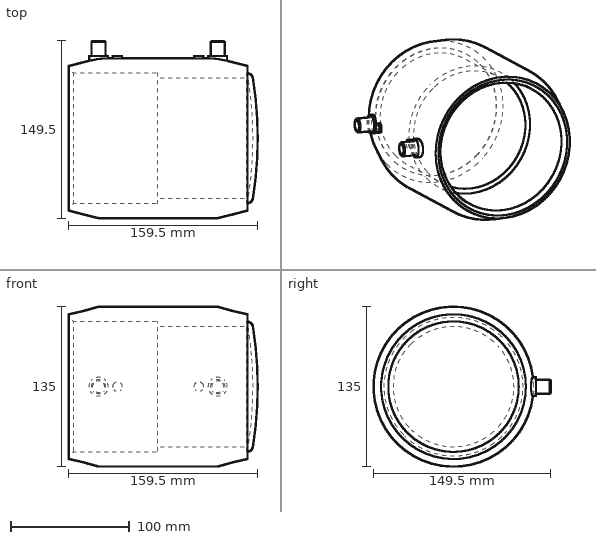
import cadquery as cq
import math

sleeve_length = 151.0
sleeve_radius = 67.5
sleeve_end_radius = 61.0
taper_length = 25.5
bore_radius = 55.0
mouth_radius = 58.5
mouth_depth = 4.0

overall_length = 159.5
cap_start = 75.0
cap_wall = 4.2
crown_radius = 320.0
cap_inner_knuckle = 1.2
cap_outer_knuckle = cap_inner_knuckle + cap_wall

middle_x = sleeve_length / 2
fitting_base_y = 60.0
flange_top_y = 69.4
flange_radius = 8.0
terminal_offset = 50.2
terminal_radius = 6.0
terminal_top_y = 82.0
terminal_chamfer = 1.0
terminal_root_fillet = 0.5
indicator_offset = 34.25
indicator_radius = 4.0


def revolve_about_x(profile):
    """Close an XY profile and revolve it fully about the X axis."""
    return profile.close().revolve(360, (0, 0, 0), (1, 0, 0))


def make_sleeve():
    """Solid barrel with a conical taper at each end."""
    return revolve_about_x(
        cq.Workplane("XY")
        .lineTo(0, sleeve_end_radius)
        .lineTo(taper_length, sleeve_radius)
        .lineTo(sleeve_length - taper_length, sleeve_radius)
        .lineTo(sleeve_length, sleeve_end_radius)
        .lineTo(sleeve_length, 0)
    )


def make_bore():
    """Through bore with a conical lead-in at the -X mouth."""
    return revolve_about_x(
        cq.Workplane("XY")
        .lineTo(0, mouth_radius)
        .lineTo(mouth_depth, bore_radius)
        .lineTo(sleeve_length, bore_radius)
        .lineTo(sleeve_length, 0)
    )


def domed_plug(wall_offset):
    """Round plug with a knuckle and a spherical crown, set inward from the cap's outside by wall_offset."""
    radius = bore_radius - wall_offset
    knuckle = cap_outer_knuckle - wall_offset
    crown = crown_radius - wall_offset
    crown_centre_x = overall_length - crown_radius
    knuckle_centre_r = radius - knuckle
    tilt = math.asin(knuckle_centre_r / (crown - knuckle))
    knuckle_centre_x = crown_centre_x + (crown - knuckle) * math.cos(tilt)

    def on_knuckle(angle):
        """Point on the knuckle arc, with angle measured from the X axis."""
        return (
            knuckle_centre_x + knuckle * math.cos(angle),
            knuckle_centre_r + knuckle * math.sin(angle),
        )

    def on_crown(angle):
        """Point on the crown arc, with angle measured from the X axis."""
        return crown_centre_x + crown * math.cos(angle), crown * math.sin(angle)

    return revolve_about_x(
        cq.Workplane("XY")
        .moveTo(cap_start, 0)
        .lineTo(cap_start, radius)
        .lineTo(knuckle_centre_x, radius)
        .threePointArc(on_knuckle((tilt + math.pi / 2) / 2), on_knuckle(tilt))
        .threePointArc(on_crown(tilt / 2), on_crown(0))
    )


def make_cap():
    """Hollow cap with a constant wall thickness, open toward -X."""
    return domed_plug(0).cut(domed_plug(cap_wall))


def make_terminal(x):
    """Chamfered contact pin along +Y, rising from a wider flange with a small fillet at its root."""
    fillet_end = (terminal_radius, flange_top_y + terminal_root_fillet)
    profile = (
        cq.Workplane("XY", origin=(x, 0, 0))
        .moveTo(0, fitting_base_y)
        .lineTo(flange_radius, fitting_base_y)
        .lineTo(flange_radius, flange_top_y)
        .lineTo(terminal_radius + terminal_root_fillet, flange_top_y)
        .tangentArcPoint(fillet_end, relative=False)
        .lineTo(terminal_radius, terminal_top_y - terminal_chamfer)
        .lineTo(terminal_radius - terminal_chamfer, terminal_top_y)
        .lineTo(0, terminal_top_y)
        .close()
    )
    return profile.revolve(360, (0, 0, 0), (0, 1, 0))


def make_indicator(x):
    """Low round button along +Y, level with the terminal flanges."""
    base = cq.Workplane("XZ", origin=(x, fitting_base_y, 0)).circle(indicator_radius)
    return base.extrude(fitting_base_y - flange_top_y)


result = make_sleeve()
for side in (-1, 1):
    result = result.union(make_terminal(middle_x + side * terminal_offset))
    result = result.union(make_indicator(middle_x + side * indicator_offset))

result = result.cut(make_bore()).union(make_cap())